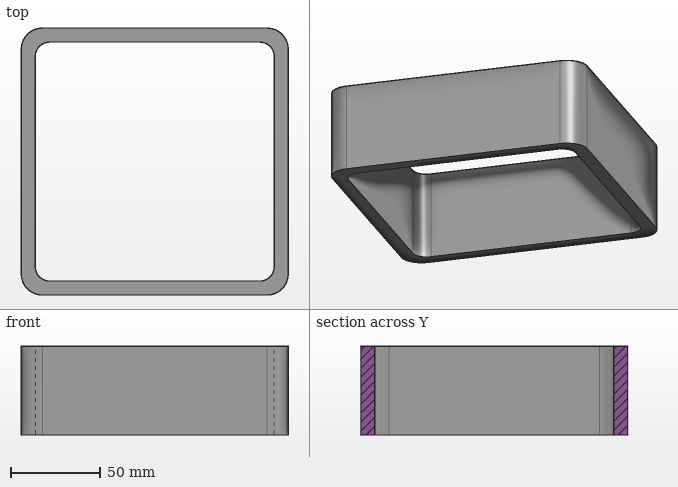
import cadquery as cq

outer_side = 150.0
length = 50.0
wall = 8.0
outer_corner_radius = 12.0
inner_corner_radius = 8.0

inner_side = outer_side - 2 * wall


def rounded_square_bar(side, corner_radius):
    """Square bar centred on the Z axis, standing on Z = 0, with rounded upright edges."""
    bar = cq.Workplane("XY").rect(side, side).extrude(length)
    return bar.edges("|Z").fillet(corner_radius)


outer_bar = rounded_square_bar(outer_side, outer_corner_radius)
bore = rounded_square_bar(inner_side, inner_corner_radius)
result = outer_bar.cut(bore)